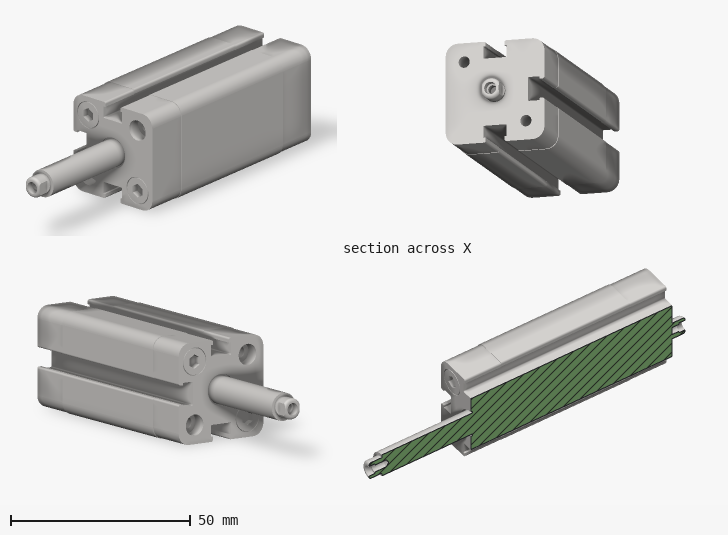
import cadquery as cq
import math


BARREL_WIDTH = 29.05
CAP_WIDTH = 28.8
CORNER_RADIUS = 3.5
CAP_LENGTH = 12.3
BARREL_LENGTH = 43.5
BODY_LENGTH = BARREL_LENGTH + 2 * CAP_LENGTH

SLOT_FLOOR = 9.6
SLOT_WIDTH = 6.8
SLOT_MOUTH_WIDTH = 5.5
LIP_THICKNESS = 1.4
LIP_ROUNDING = 0.55
SLOT_FLOOR_ROUNDING = 0.3

HOLE_OFFSET = 9.0
MOUNT_HOLE_DIAMETER = 3.24
MOUNT_COUNTERBORE_DIAMETER = 6.0
MOUNT_COUNTERBORE_DEPTH = 3.8
SCREW_RECESS_DIAMETER = 8.0
SCREW_HEAD_DIAMETER = 7.5
SCREW_RECESS_DEPTH = 0.5
SOCKET_WIDTH = 3.5
SOCKET_DEPTH = 2.0

ROD_DIAMETER = 8.0
ROD_REACH = 30.1
ROD_CLEARANCE_DIAMETER = 9.0
ROD_CLEARANCE_DEPTH = 0.5

TIP_DIAMETER = 6.0
TIP_LENGTH = 4.4
TIP_FACE_DIAMETER = 4.13
TIP_ROUNDING = (TIP_DIAMETER - TIP_FACE_DIAMETER) / 2
FLATS_WIDTH = 4.9
FLATS_LENGTH = 3.4
THREAD_DIAMETER = 2.46
THREAD_DEPTH = 6.0
THREAD_RELIEF_DIAMETER = 3.5
THREAD_RELIEF_DEPTH = 2.0
DRILL_POINT_ANGLE = 118

FRONT_TIP_Y = -(ROD_REACH + TIP_LENGTH)
REAR_TIP_Y = BODY_LENGTH + TIP_LENGTH


def plane_at(y):
    """Work plane across the rod axis, with local x along X, local y along Z and its normal along -Y."""
    return cq.Workplane("XZ", origin=(0, y, 0))


def along_y(start, end, diameter):
    """Cylinder on the rod axis between two Y positions."""
    return plane_at(end).circle(diameter / 2).extrude(end - start)


def block(start, end, width):
    """Square bar with rounded long edges."""
    bar = plane_at(end).rect(width, width).extrude(end - start)
    return bar.edges("|Y").fillet(CORNER_RADIUS)


def slot(width):
    """T-slot cutter in the +Z side of a bar, with rounded floor corners."""
    surface = width / 2
    ceiling = surface - LIP_THICKNESS
    channel = plane_at(BODY_LENGTH).center(0, (SLOT_FLOOR + ceiling) / 2)
    channel = channel.rect(SLOT_WIDTH, ceiling - SLOT_FLOOR).extrude(BODY_LENGTH)
    channel = channel.edges("|Y and <Z").fillet(SLOT_FLOOR_ROUNDING)
    mouth = plane_at(BODY_LENGTH).center(0, surface - LIP_THICKNESS / 2)
    mouth = mouth.rect(SLOT_MOUTH_WIDTH, LIP_THICKNESS).extrude(BODY_LENGTH)
    return channel.union(mouth)


def round_lips(bar, width):
    """Round the outer edge of every slot lip."""
    half_mouth = SLOT_MOUTH_WIDTH / 2
    surface = width / 2
    middle = bar.val().Center().y
    for across in (-half_mouth, half_mouth):
        for x, z in ((across, surface), (across, -surface), (-surface, across)):
            lip_edge = cq.selectors.NearestToPointSelector((x, middle, z))
            bar = bar.edges("|Y").edges(lip_edge).fillet(LIP_ROUNDING)
    return bar


def slotted_block(start, end, width):
    """Rounded bar with slots in its top, left and bottom sides."""
    bar = block(start, end, width)
    for angle in (0, -90, 180):
        bar = bar.cut(slot(width).rotate((0, 0, 0), (0, 1, 0), angle))
    return round_lips(bar, width)


def body():
    """Barrel with the slightly narrower front and rear caps."""
    barrel_end = CAP_LENGTH + BARREL_LENGTH
    front_cap = slotted_block(0, CAP_LENGTH, CAP_WIDTH)
    barrel = slotted_block(CAP_LENGTH, barrel_end, BARREL_WIDTH)
    rear_cap = slotted_block(barrel_end, BODY_LENGTH, CAP_WIDTH)
    return front_cap.union(barrel).union(rear_cap)


def mount_holes():
    """Through holes in two opposite corners, counterbored from the front."""
    centres = [(HOLE_OFFSET, HOLE_OFFSET), (-HOLE_OFFSET, -HOLE_OFFSET)]
    bores = plane_at(BODY_LENGTH).pushPoints(centres).circle(MOUNT_HOLE_DIAMETER / 2).extrude(BODY_LENGTH)
    counterbores = (
        plane_at(MOUNT_COUNTERBORE_DEPTH)
        .pushPoints(centres)
        .circle(MOUNT_COUNTERBORE_DIAMETER / 2)
        .extrude(MOUNT_COUNTERBORE_DEPTH)
    )
    return bores.union(counterbores)


def screw_details():
    """Gaps around the two flush screw heads, with hexagon sockets that have two upright flats."""
    centres = [(-HOLE_OFFSET, HOLE_OFFSET), (HOLE_OFFSET, -HOLE_OFFSET)]
    cutters = (
        plane_at(SCREW_RECESS_DEPTH)
        .pushPoints(centres)
        .circle(SCREW_RECESS_DIAMETER / 2)
        .circle(SCREW_HEAD_DIAMETER / 2)
        .extrude(SCREW_RECESS_DEPTH)
    )
    socket = plane_at(SOCKET_DEPTH).polygon(6, SOCKET_WIDTH, circumscribed=True).extrude(SOCKET_DEPTH)
    for x, z in centres:
        cutters = cutters.union(socket.translate((x, 0, z)))
    return cutters


def flats_cutter():
    """Material beside both wrench flats, for a tip pointing to -Y from y = 0, with 45 degree run-outs."""
    half_flats = FLATS_WIDTH / 2
    outer = TIP_DIAMETER
    cutters = cq.Workplane("XY")
    for side in (-1, 1):
        profile = (
            cq.Workplane("XY", origin=(0, 0, -TIP_DIAMETER))
            .moveTo(side * half_flats, 0)
            .lineTo(side * half_flats, FLATS_LENGTH)
            .lineTo(side * outer, FLATS_LENGTH + outer - half_flats)
            .lineTo(side * outer, 0)
            .close()
        )
        cutters = cutters.add(profile.extrude(2 * TIP_DIAMETER))
    return cutters.combine()


def threaded_hole():
    """Blind hole with a wider mouth and a drill point, entering at y = 0 and going to +Y."""
    radius = THREAD_DIAMETER / 2
    relief_radius = THREAD_RELIEF_DIAMETER / 2
    point_length = radius / math.tan(math.radians(DRILL_POINT_ANGLE / 2))
    return (
        cq.Workplane("XY")
        .lineTo(relief_radius, 0)
        .lineTo(relief_radius, THREAD_RELIEF_DEPTH)
        .lineTo(radius, THREAD_RELIEF_DEPTH)
        .lineTo(radius, THREAD_DEPTH)
        .lineTo(0, THREAD_DEPTH + point_length)
        .close()
        .revolve(360, (0, 0, 0), (0, 1, 0))
    )


def cut_both_ends(bar, cutter):
    """Apply a cutter made for a tip at y = 0 to both ends of the rod."""
    front = cutter.translate((0, FRONT_TIP_Y, 0))
    rear = cutter.mirror("XZ").translate((0, REAR_TIP_Y, 0))
    return bar.cut(front).cut(rear)


def rod():
    """Rod from tip to tip; both ends carry the same rounded tip."""
    bar = along_y(FRONT_TIP_Y, REAR_TIP_Y, TIP_DIAMETER)
    bar = bar.faces("<Y or >Y").edges().fillet(TIP_ROUNDING)
    bar = cut_both_ends(bar, flats_cutter())
    bar = bar.union(along_y(-ROD_REACH, BODY_LENGTH, ROD_DIAMETER))
    return cut_both_ends(bar, threaded_hole())


rod_clearance = along_y(0, ROD_CLEARANCE_DEPTH, ROD_CLEARANCE_DIAMETER)
result = body().cut(mount_holes()).cut(screw_details()).cut(rod_clearance).union(rod())